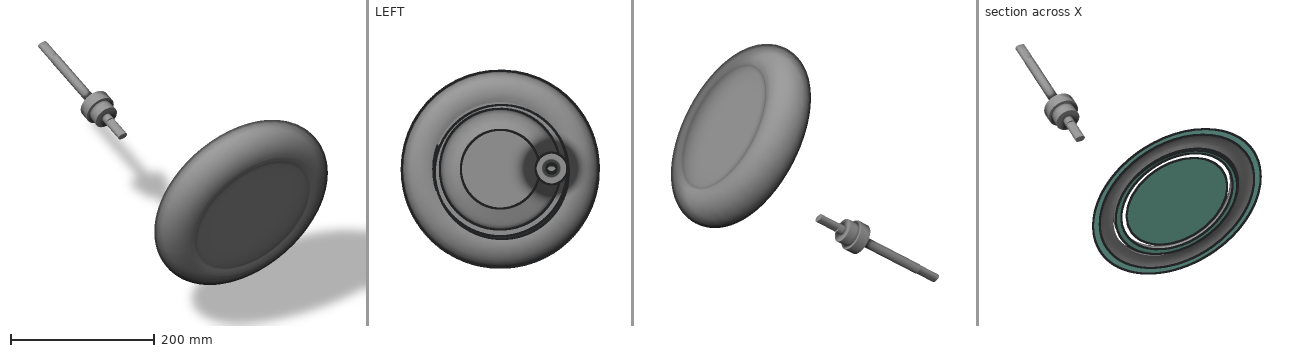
import cadquery as cq
import math

overall_length = 436.0
tyre_ring_diameter = 210.0
tyre_tube_radius = 32.5
tyre_wall = 6.5
tyre_center_x = overall_length - tyre_tube_radius

rim_diameter = 187.0
rim_radius = rim_diameter / 2
recess_diameter = 168.7
dome_top_diameter = 110.0
recess_depth = 10.0
rim_half_width = math.sqrt(tyre_tube_radius**2 - (tyre_ring_diameter / 2 - rim_radius) ** 2)
rim_face_x = tyre_center_x - rim_half_width

opening_offset_y = -2.0
opening_offset_z = -4.0
opening_depth = 8.0

axle_y = -71.5
axle_z = 1.0
axle_diameter = 14.0
axle_length = 209.0
tip_length = 32.5
tip_height = 9.0
axle_body_length = axle_length - 2 * tip_length

collar_x = 134.5
flange_diameter = 44.5
flange_width = 16.0
sleeve_diameter = 35.0
sleeve_width = 15.5


def x_plane(x, y=0.0, z=0.0):
    """Sketch plane facing +X, with its local axes along Y and Z."""
    return cq.Workplane("YZ", origin=(x, y, z))


def x_cylinder(diameter, x, length, y=0.0, z=0.0):
    return x_plane(x, y, z).circle(diameter / 2).extrude(length)


def x_torus(tube_radius):
    """Ring about the X axis, centred on the tyre."""
    return (
        cq.Workplane("XY")
        .center(tyre_center_x, tyre_ring_diameter / 2)
        .circle(tube_radius)
        .revolve(360, (0, -tyre_ring_diameter / 2), (1, -tyre_ring_diameter / 2))
    )


def make_opening(x, depth):
    return x_cylinder(rim_diameter, x, depth, opening_offset_y, opening_offset_z)


def make_lip():
    """Crescent of the tyre side wall left inside the rim radius by the opening."""
    disc = x_cylinder(rim_diameter, rim_face_x, opening_depth)
    return disc.cut(make_opening(rim_face_x, opening_depth))


def make_tyre():
    rim_seat = x_cylinder(rim_diameter, tyre_center_x - tyre_tube_radius, 2 * tyre_tube_radius)
    shell = x_torus(tyre_tube_radius).cut(x_torus(tyre_tube_radius - tyre_wall)).cut(rim_seat)
    opening_start_x = tyre_center_x - tyre_tube_radius
    opening = make_opening(opening_start_x, rim_face_x + opening_depth - opening_start_x)
    return shell.cut(opening).union(make_lip())


def make_rim():
    disc = x_cylinder(rim_diameter, rim_face_x, 2 * rim_half_width)
    recess = x_cylinder(recess_diameter, rim_face_x, recess_depth)
    dome = (
        x_plane(rim_face_x)
        .circle(dome_top_diameter / 2)
        .workplane(offset=recess_depth)
        .circle(recess_diameter / 2)
        .loft(ruled=True)
    )
    return disc.cut(recess.cut(dome)).cut(make_lip())


def make_axle():
    body = x_cylinder(axle_diameter, tip_length, axle_body_length, axle_y, axle_z)
    for tip_x in (0.0, axle_length - tip_length):
        tip = x_plane(tip_x, axle_y, axle_z).slot2D(axle_diameter, tip_height).extrude(tip_length)
        body = body.union(tip)
    return body


def make_collar():
    flange = x_cylinder(flange_diameter, collar_x, flange_width, axle_y, axle_z)
    sleeve = x_cylinder(sleeve_diameter, collar_x + flange_width, sleeve_width, axle_y, axle_z)
    bore = x_cylinder(axle_diameter, collar_x, flange_width + sleeve_width, axle_y, axle_z)
    return flange.union(sleeve).cut(bore)


tyre = make_tyre().solids()
rim = make_rim().solids()
axle = make_axle().solids()
collar = make_collar().solids()

result = cq.Compound.makeCompound([tyre.val(), rim.val(), axle.val(), collar.val()])